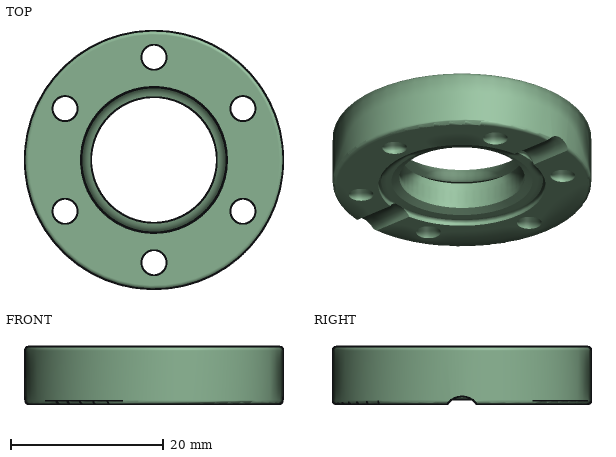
import cadquery as cq

RING_DIAMETER = 34.0
RING_HEIGHT = 7.6
RIM_FILLET = 0.5
LIP_DIAMETER = 19.25
LIP_THICKNESS = 1.85
SEAT_DIAMETER = 22.0
BOLT_COUNT = 6
BOLT_HOLE_DIAMETER = 3.25
BOLT_CIRCLE_RADIUS = 13.5
FIRST_BOLT_ANGLE = 30

GROOVE_RADIUS = 2.28
GROOVE_DEPTH = 1.05

INSERT_DIAMETER = 21.3
INSERT_BOTTOM = 0.65
INSERT_TOP = RING_HEIGHT - LIP_THICKNESS
BORE_DIAMETER = 16.5
BORE_CHAMFER_HEIGHT = 0.5
BORE_CHAMFER_WIDTH = 1.02
RECESS_DIAMETER = 19.05
RECESS_DEPTH = 1.0
RECESS_FILLET = 0.5


def cylinder(diameter, bottom, top):
    """Solid cylinder on the Z axis between two heights."""
    return cq.Workplane("XY").workplane(offset=bottom).circle(diameter / 2).extrude(top - bottom)


def make_ring():
    """Filleted ring with an inward lip at the top, bolt holes and two leak grooves."""
    ring = cylinder(RING_DIAMETER, 0, RING_HEIGHT).edges().fillet(RIM_FILLET)
    ring = ring.cut(cylinder(LIP_DIAMETER, 0, RING_HEIGHT))
    ring = ring.cut(cylinder(SEAT_DIAMETER, 0, INSERT_TOP))

    bolt_holes = (
        cq.Workplane("XY")
        .polarArray(BOLT_CIRCLE_RADIUS, FIRST_BOLT_ANGLE, 360, BOLT_COUNT)
        .circle(BOLT_HOLE_DIAMETER / 2)
        .extrude(RING_HEIGHT)
    )
    groove = (
        cq.Workplane("YZ")
        .center(0, GROOVE_DEPTH - GROOVE_RADIUS)
        .circle(GROOVE_RADIUS)
        .extrude(RING_DIAMETER / 2, both=True)
    )
    return ring.cut(bolt_holes).cut(groove)


def make_insert():
    """Bored disc with a round-edged recess on top and a shallow cone under the bore."""
    insert = cylinder(INSERT_DIAMETER, INSERT_BOTTOM, INSERT_TOP)
    insert = insert.cut(cylinder(BORE_DIAMETER, INSERT_BOTTOM, INSERT_TOP))
    bore_cone = cq.Solid.makeCone(
        BORE_DIAMETER / 2 + BORE_CHAMFER_WIDTH,
        BORE_DIAMETER / 2,
        BORE_CHAMFER_HEIGHT,
        pnt=cq.Vector(0, 0, INSERT_BOTTOM),
    )
    insert = insert.cut(cq.Workplane(bore_cone))
    insert = insert.cut(cylinder(RECESS_DIAMETER, INSERT_TOP - RECESS_DEPTH, INSERT_TOP))
    return insert.faces(">Z").edges(cq.selectors.RadiusNthSelector(0)).fillet(RECESS_FILLET)


ring = make_ring()
insert = make_insert()

result = cq.Compound.makeCompound([ring.val(), insert.val()])